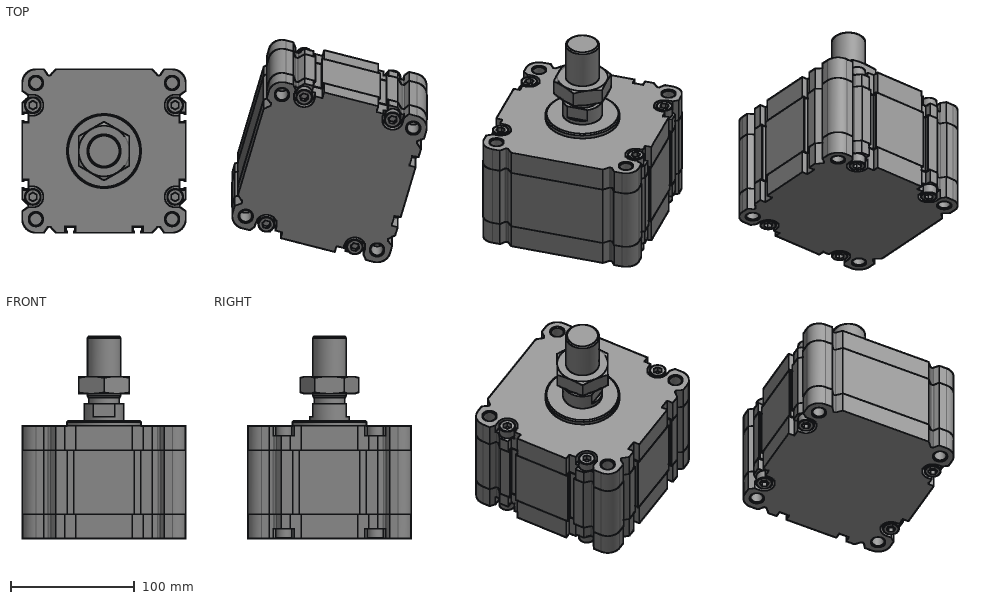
import cadquery as cq
import math


BARREL_SIDE = 132.0
CAP_STEP = 0.2
CAP_SIDE = BARREL_SIDE - 2 * CAP_STEP
HALF = BARREL_SIDE / 2
BODY_HEIGHT = 91.0
CAP_HEIGHT = 19.5
BARREL_HEIGHT = BODY_HEIGHT - 2 * CAP_HEIGHT
CORNER_OFFSET = 55.0

GROOVE_DEPTH = 4.9
GROOVE_FLOOR_RADIUS = 0.7
CAP_GROOVE = (38.8, 43.2, 45.0, 48.5)
BARREL_GROOVE = (38.8, 43.5, 45.5, 48.4)

SLOT_OFFSET = 27.0
PLAIN_SIDE_ANGLE = 180
CAP_SLOT_WIDTH = 8.8
CAP_SLOT_DEPTH = 5.4
SLOT_MOUTH_WIDTH = 5.4
SLOT_INNER_WIDTH = 6.7
SLOT_LIP = 1.3
SLOT_DEPTH = 4.7

HOLE_DIAMETER = 10.1
HOLE_MOUTH_DIAMETER = 11.9
HOLE_MOUTH_ANGLE = 90

SCREW_X = 57.4
SCREW_Y = 37.0
HEAD_DIAMETER = 13.0
HEAD_HEIGHT = 8.0
HEAD_TOP_DIAMETER = 12.0
SOCKET_FLATS = 6.2
SOCKET_DEPTH = 4.5
COUNTERBORE_WIDTH = 17.0

COLLAR_DIAMETER = 60.0
COLLAR_HEIGHT = 4.0
COLLAR_CHAMFER = 1.1
COLLAR_TOP = BODY_HEIGHT + COLLAR_HEIGHT

ROD_DIAMETER = 32.0
ROD_SHOULDER_Z = 108.9
FLATS_WIDTH = 27.0
FLATS_BOTTOM_Z = 98.5
NECK_DIAMETER = 24.8
THREAD_DIAMETER = 27.0
TIP_DIAMETER = 24.6
TIP_CHAMFER = (THREAD_DIAMETER - TIP_DIAMETER) / 2
THREAD_RUNOUT = 1.6
THREAD_START_Z = 113.5
ROD_TOP_Z = 163.0

NUT_FLATS = 41.0
NUT_BOTTOM_Z = 116.9
NUT_HEIGHT = 13.9
NUT_FACE_DIAMETER = 40.8
NUT_CHAMFER_ANGLE = 18.0


def hexagon_prism(flats, height):
    """Hexagonal prism on Z = 0 with two of its flats facing +X and -X."""
    corner_diameter = flats / math.cos(math.radians(30))
    return (
        cq.Workplane("XY")
        .polygon(6, corner_diameter)
        .extrude(height)
        .rotate((0, 0, 0), (0, 0, 1), 90)
    )


def side_prism(points, height):
    """Upright cutter over an outline drawn for the -Y side."""
    return cq.Workplane("XY").polyline(points).close().extrude(height)


def grooved_block(side, height, groove, slot):
    """Rounded square block with two V grooves on each side and two slots on all but the +Y side."""
    corner_radius = side / 2 - CORNER_OFFSET
    block = cq.Workplane("XY").rect(side, side).extrude(height).edges("|Z").fillet(corner_radius)
    inner, floor_inner, floor_outer, outer = groove
    floor = GROOVE_DEPTH - HALF
    for angle in (0, 90, 180, 270):
        for mirror in (-1, 1):
            groove_outline = [
                (mirror * inner, -HALF),
                (mirror * floor_inner, floor),
                (mirror * floor_outer, floor),
                (mirror * outer, -HALF),
            ]
            cutter = side_prism(groove_outline, height)
            cutter = cutter.edges("|Z").edges(">Y").fillet(GROOVE_FLOOR_RADIUS)
            block = block.cut(cutter.rotate((0, 0, 0), (0, 0, 1), angle))
            if angle != PLAIN_SIDE_ANGLE:
                slot_outline = [(mirror * SLOT_OFFSET + across, depth - HALF) for across, depth in slot]
                cutter = side_prism(slot_outline, height)
                block = block.cut(cutter.rotate((0, 0, 0), (0, 0, 1), angle))
    return block


def screw_places():
    return [(x, y) for x in (-SCREW_X, SCREW_X) for y in (-SCREW_Y, SCREW_Y)]


def cap_screw_head():
    """Socket head on Z = 0 with a chamfered top."""
    head = cq.Workplane("XY").circle(HEAD_DIAMETER / 2).extrude(HEAD_HEIGHT)
    head = head.faces(">Z").chamfer((HEAD_DIAMETER - HEAD_TOP_DIAMETER) / 2)
    socket = hexagon_prism(SOCKET_FLATS, SOCKET_DEPTH)
    return head.cut(socket.translate((0, 0, HEAD_HEIGHT - SOCKET_DEPTH)))


def counterbore(x, y):
    """U-shaped recess around a screw, open towards the nearest X side."""
    seat_z = CAP_HEIGHT - HEAD_HEIGHT
    opening = HALF - abs(x)
    middle_x = x + math.copysign(opening / 2, x)
    round_end = cq.Workplane("XY").center(x, y).circle(COUNTERBORE_WIDTH / 2)
    passage = cq.Workplane("XY").center(middle_x, y).rect(opening, COUNTERBORE_WIDTH)
    recess = round_end.extrude(HEAD_HEIGHT).union(passage.extrude(HEAD_HEIGHT))
    return recess.translate((0, 0, seat_z))


def end_cap():
    """Cap on Z = 0 with its outer face on top, holes and screws included."""
    half_width = CAP_SLOT_WIDTH / 2
    plain_slot = [
        (-half_width, 0),
        (-half_width, CAP_SLOT_DEPTH),
        (half_width, CAP_SLOT_DEPTH),
        (half_width, 0),
    ]
    cap = grooved_block(CAP_SIDE, CAP_HEIGHT, CAP_GROOVE, plain_slot)

    hole_spacing = 2 * CORNER_OFFSET
    cap = (
        cap.faces(">Z")
        .workplane(origin=(0, 0, CAP_HEIGHT))
        .rect(hole_spacing, hole_spacing, forConstruction=True)
        .vertices()
        .cskHole(HOLE_DIAMETER, HOLE_MOUTH_DIAMETER, HOLE_MOUTH_ANGLE, CAP_HEIGHT)
    )

    for x, y in screw_places():
        cap = cap.cut(counterbore(x, y))
    for x, y in screw_places():
        cap = cap.union(cap_screw_head().translate((x, y, CAP_HEIGHT - HEAD_HEIGHT)))
    return cap


def barrel():
    """Middle section of the housing with T-shaped sensor slots, standing on Z = 0."""
    half_mouth = SLOT_MOUTH_WIDTH / 2
    half_inner = SLOT_INNER_WIDTH / 2
    t_slot = [
        (-half_mouth, 0),
        (-half_mouth, SLOT_LIP),
        (-half_inner, SLOT_LIP),
        (-half_inner, SLOT_DEPTH),
        (half_inner, SLOT_DEPTH),
        (half_inner, SLOT_LIP),
        (half_mouth, SLOT_LIP),
        (half_mouth, 0),
    ]
    return grooved_block(BARREL_SIDE, BARREL_HEIGHT, BARREL_GROOVE, t_slot)


def make_housing():
    """Barrel between two mirrored end caps, with the guide collar on top."""
    head_cap = end_cap()
    lower_cap = head_cap.mirror("XY").translate((0, 0, CAP_HEIGHT))
    upper_cap = head_cap.translate((0, 0, BODY_HEIGHT - CAP_HEIGHT))
    middle = barrel().translate((0, 0, CAP_HEIGHT))
    collar = cq.Workplane("XY").workplane(offset=BODY_HEIGHT).circle(COLLAR_DIAMETER / 2)
    collar = collar.extrude(COLLAR_HEIGHT).faces(">Z").chamfer(COLLAR_CHAMFER)
    housing = lower_cap.union(middle)
    housing = housing.union(upper_cap)
    return housing.union(collar)


def make_rod():
    """Turned rod end standing on the collar, with two wrench flats facing +Y and -Y."""
    rod_radius = ROD_DIAMETER / 2
    neck_radius = NECK_DIAMETER / 2
    thread_radius = THREAD_DIAMETER / 2
    profile = [
        (0, COLLAR_TOP),
        (rod_radius, COLLAR_TOP),
        (rod_radius, ROD_SHOULDER_Z),
        (neck_radius, ROD_SHOULDER_Z),
        (neck_radius, THREAD_START_Z),
        (thread_radius, THREAD_START_Z + THREAD_RUNOUT),
        (thread_radius, ROD_TOP_Z - TIP_CHAMFER),
        (TIP_DIAMETER / 2, ROD_TOP_Z),
        (0, ROD_TOP_Z),
    ]
    rod = cq.Workplane("XZ").polyline(profile).close().revolve(360, (0, 0, 0), (0, 1, 0))
    flat_height = ROD_SHOULDER_Z - FLATS_BOTTOM_Z
    flat_depth = (ROD_DIAMETER - FLATS_WIDTH) / 2
    for side in (-1, 1):
        chip = cq.Workplane("XY").box(ROD_DIAMETER, flat_depth, flat_height, centered=(True, True, False))
        rod = rod.cut(chip.translate((0, side * (FLATS_WIDTH + flat_depth) / 2, FLATS_BOTTOM_Z)))
    return rod


def make_nut():
    """Hexagon nut with conical chamfers on both faces, bored to the rod thread."""
    face_radius = NUT_FACE_DIAMETER / 2
    corner_radius = NUT_FLATS / 2 / math.cos(math.radians(30))
    drop = (corner_radius - face_radius) * math.tan(math.radians(NUT_CHAMFER_ANGLE))
    envelope_profile = [
        (0, 0),
        (face_radius, 0),
        (corner_radius, drop),
        (corner_radius, NUT_HEIGHT - drop),
        (face_radius, NUT_HEIGHT),
        (0, NUT_HEIGHT),
    ]
    envelope = cq.Workplane("XZ").polyline(envelope_profile).close().revolve(360, (0, 0, 0), (0, 1, 0))
    bore = cq.Workplane("XY").circle(THREAD_DIAMETER / 2).extrude(NUT_HEIGHT)
    nut = hexagon_prism(NUT_FLATS, NUT_HEIGHT).intersect(envelope).cut(bore)
    return nut.translate((0, 0, NUT_BOTTOM_Z))


housing = make_housing()
rod = make_rod()
nut = make_nut()

result = cq.Compound.makeCompound([housing.val(), rod.val(), nut.val()])